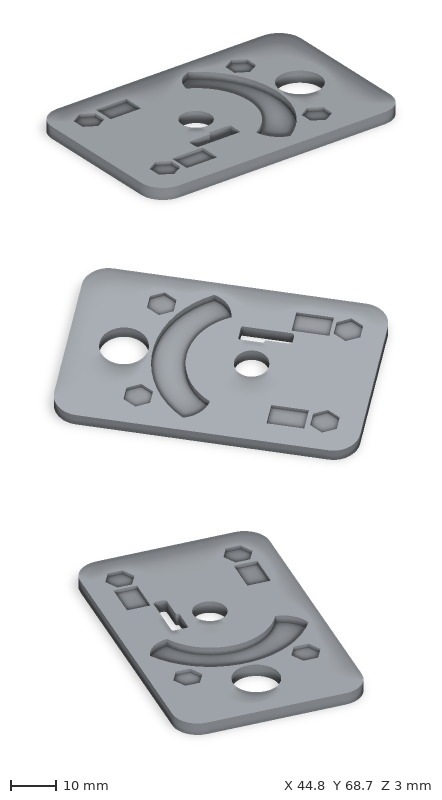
import cadquery as cq
import math

WIDTH = 44.75
LENGTH = 68.7
THICKNESS = 3.0
CORNER_RADIUS = 6.0

LARGE_HOLE_DIAMETER = 11.0
LARGE_HOLE_Y = 21.8
PIVOT_DIAMETER = 7.85
PIVOT_Y = -6.9

HEX_ACROSS_FLATS = 6.0
HEX_X = 13.95
HEX_UPPER_Y = 15.95
HEX_LOWER_Y = -26.0
HEX_DEPTH = 1.0

RECT_WIDTH = 5.6
RECT_LENGTH = 8.45
RECT_X = 14.15
RECT_LEFT_Y = -17.65
RECT_RIGHT_Y = -17.95
RECT_DEPTH = 1.0

ARC_OUTER_RADIUS = 22.2
ARC_INNER_RADIUS = 14.6
ARC_OUTER_END_ANGLE = 32.5
ARC_INNER_END_ANGLE = 28.5
ARC_END_BULGE = 1.2
ARC_DEPTH = 2.0

SLOT_LEFT = 6.7
SLOT_RIGHT = 10.6
SLOT_TOP = -2.55
SLOT_BOTTOM = -14.6
SLOT_STEP_Y = -8.45
SLOT_STEP_WIDTH = 0.75
SLOT_SMALL_RADIUS = 0.35
SLOT_BOTTOM_RADIUS = 0.7


def sink(profile, depth):
    """Solid filling a closed profile from the top face down to a depth."""
    return profile.extrude(-depth)


def top_plane():
    return cq.Workplane("XY", origin=(0, 0, THICKNESS))


def round_hole(diameter, y):
    return sink(top_plane().center(0, y).circle(diameter / 2), THICKNESS)


def hex_pockets():
    across_corners = HEX_ACROSS_FLATS / math.cos(math.pi / 6)
    centers = [(x, y) for x in (-HEX_X, HEX_X) for y in (HEX_LOWER_Y, HEX_UPPER_Y)]
    return sink(top_plane().pushPoints(centers).polygon(6, across_corners), HEX_DEPTH)


def rect_pockets():
    centers = [(-RECT_X, RECT_LEFT_Y), (RECT_X, RECT_RIGHT_Y)]
    return sink(top_plane().pushPoints(centers).rect(RECT_WIDTH, RECT_LENGTH), RECT_DEPTH)


def pivot_point(radius, degrees):
    """Point at a radius and angle around the pivot hole."""
    angle = math.radians(degrees)
    return radius * math.cos(angle), PIVOT_Y + radius * math.sin(angle)


def mirrored(point):
    return -point[0], point[1]


def arc_pocket():
    outer_end = pivot_point(ARC_OUTER_RADIUS, ARC_OUTER_END_ANGLE)
    inner_end = pivot_point(ARC_INNER_RADIUS, ARC_INNER_END_ANGLE)
    profile = (
        top_plane()
        .moveTo(*mirrored(outer_end))
        .threePointArc(pivot_point(ARC_OUTER_RADIUS, 90), outer_end)
        .sagittaArc(inner_end, ARC_END_BULGE)
        .threePointArc(pivot_point(ARC_INNER_RADIUS, 90), mirrored(inner_end))
        .sagittaArc(mirrored(outer_end), ARC_END_BULGE)
        .close()
    )
    return sink(profile, ARC_DEPTH)


def stepped_slot():
    narrow_left = SLOT_LEFT + SLOT_STEP_WIDTH
    profile = top_plane().polyline([
        (SLOT_LEFT, SLOT_TOP),
        (SLOT_RIGHT, SLOT_TOP),
        (SLOT_RIGHT, SLOT_BOTTOM),
        (narrow_left, SLOT_BOTTOM),
        (narrow_left, SLOT_STEP_Y),
        (SLOT_LEFT, SLOT_STEP_Y),
    ]).close()
    slot = sink(profile, THICKNESS)
    slot = slot.edges("|Z").edges("<Y").fillet(SLOT_BOTTOM_RADIUS)
    upper_corners = cq.selectors.BoxSelector(
        (SLOT_LEFT - 0.7, SLOT_STEP_Y - 0.7, -0.7),
        (SLOT_RIGHT + 0.7, SLOT_TOP + 0.7, THICKNESS + 0.7),
    )
    return slot.edges("|Z").edges(upper_corners).fillet(SLOT_SMALL_RADIUS)


plate = (
    cq.Workplane("XY")
    .rect(WIDTH, LENGTH)
    .extrude(THICKNESS)
    .edges("|Z")
    .fillet(CORNER_RADIUS)
)

result = (
    plate
    .cut(round_hole(LARGE_HOLE_DIAMETER, LARGE_HOLE_Y))
    .cut(round_hole(PIVOT_DIAMETER, PIVOT_Y))
    .cut(hex_pockets())
    .cut(rect_pockets())
    .cut(arc_pocket())
    .cut(stepped_slot())
)